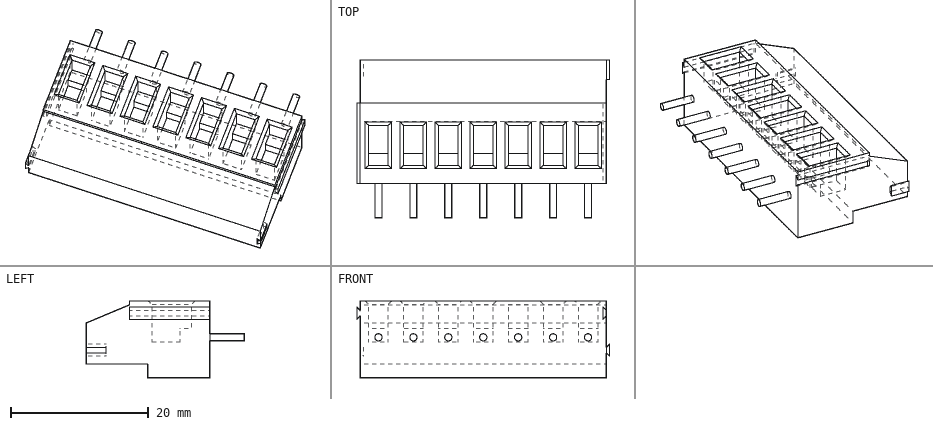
import cadquery as cq

POLE_COUNT = 7
PITCH = 5.08

OVERALL_LENGTH = 36.78
DOVETAIL_HEIGHT = 0.5
BODY_LENGTH = OVERALL_LENGTH - 2 * DOVETAIL_HEIGHT
BODY_DEPTH = 18.0
BODY_HEIGHT = 11.2
HALF_LENGTH = BODY_LENGTH / 2

FOOT_DEPTH = 9.05
FOOT_HEIGHT = 2.0
DECK_DEPTH = 11.72
SLOPE_TOP = 10.63
SLOPE_BOTTOM = 8.0

PIN_DIAMETER = 1.05
PIN_LENGTH = 5.0
PIN_HEIGHT = 5.9

POCKET_CENTRE_Y = 5.56
POCKET_WIDTH = 2.85
POCKET_LENGTH = 5.8
POCKET_CHAMFER = 0.5
POCKET_DEPTH = 6.0
LEDGE_EDGE_Y = 4.37
LEDGE_DEPTH = 4.0

DOVETAIL_NARROW = 0.8
DOVETAIL_WIDE = DOVETAIL_NARROW + 2 * DOVETAIL_HEIGHT
DECK_DOVETAIL_HEIGHT = 9.42
REAR_DOVETAIL_HEIGHT = 4.05
REAR_DOVETAIL_LENGTH = 2.9


def make_housing():
    """Stepped and sloped side profile, extruded along the row."""
    profile = [
        (0, 0),
        (FOOT_DEPTH, 0),
        (FOOT_DEPTH, FOOT_HEIGHT),
        (BODY_DEPTH, FOOT_HEIGHT),
        (BODY_DEPTH, SLOPE_BOTTOM),
        (DECK_DEPTH, SLOPE_TOP),
        (DECK_DEPTH, BODY_HEIGHT),
        (0, BODY_HEIGHT),
    ]
    return cq.Workplane("YZ").polyline(profile).close().extrude(HALF_LENGTH, both=True)


def make_dovetail(narrow_x, wide_x, centre_z, start_y, end_y):
    """Dovetail bar along Y with its narrow side at narrow_x and its wide side at wide_x."""
    section = [
        (narrow_x, centre_z - DOVETAIL_NARROW / 2),
        (wide_x, centre_z - DOVETAIL_WIDE / 2),
        (wide_x, centre_z + DOVETAIL_WIDE / 2),
        (narrow_x, centre_z + DOVETAIL_NARROW / 2),
    ]
    plane = cq.Workplane("XZ", origin=(0, start_y, 0))
    return plane.polyline(section).close().extrude(start_y - end_y)


def make_dovetail_pair(tab_side, centre_z, start_y, end_y):
    """Tab on the end face at tab_side (-1 or +1) and the matching groove in the other end face."""
    tab_face = tab_side * HALF_LENGTH
    tab_crest = tab_face + tab_side * DOVETAIL_HEIGHT
    groove_face = -tab_face
    groove_floor = groove_face + tab_side * DOVETAIL_HEIGHT
    tab = make_dovetail(tab_face, tab_crest, centre_z, start_y, end_y)
    groove = make_dovetail(groove_face, groove_floor, centre_z, start_y, end_y)
    return tab, groove


def make_pocket(x):
    """Wire pocket cutter: chamfered mouth, deep rear part and a ledge on the pin side."""
    mouth = (
        cq.Workplane("XY", origin=(x, POCKET_CENTRE_Y, BODY_HEIGHT - POCKET_CHAMFER))
        .rect(POCKET_WIDTH, POCKET_LENGTH)
        .workplane(offset=POCKET_CHAMFER)
        .rect(POCKET_WIDTH + 2 * POCKET_CHAMFER, POCKET_LENGTH + 2 * POCKET_CHAMFER)
        .loft(ruled=True)
    )
    upper = (
        cq.Workplane("XY", origin=(x, POCKET_CENTRE_Y, BODY_HEIGHT - POCKET_CHAMFER))
        .rect(POCKET_WIDTH, POCKET_LENGTH)
        .extrude(POCKET_CHAMFER - LEDGE_DEPTH)
    )
    rear_y = POCKET_CENTRE_Y + POCKET_LENGTH / 2
    lower = (
        cq.Workplane("XY", origin=(x, (LEDGE_EDGE_Y + rear_y) / 2, BODY_HEIGHT - LEDGE_DEPTH))
        .rect(POCKET_WIDTH, rear_y - LEDGE_EDGE_Y)
        .extrude(LEDGE_DEPTH - POCKET_DEPTH)
    )
    return mouth.union(upper).union(lower)


def make_pin(x):
    """Round contact pin standing out of the pin face."""
    return cq.Workplane("XZ", origin=(x, 0, PIN_HEIGHT)).circle(PIN_DIAMETER / 2).extrude(PIN_LENGTH)


result = make_housing()

deck_tab, deck_groove = make_dovetail_pair(-1, DECK_DOVETAIL_HEIGHT, 0, DECK_DEPTH)
rear_tab, rear_groove = make_dovetail_pair(
    1, REAR_DOVETAIL_HEIGHT, BODY_DEPTH - REAR_DOVETAIL_LENGTH, BODY_DEPTH
)
result = result.cut(deck_groove).cut(rear_groove).union(deck_tab).union(rear_tab)

for pole in range(POLE_COUNT):
    pole_x = (pole - (POLE_COUNT - 1) / 2) * PITCH
    result = result.cut(make_pocket(pole_x)).union(make_pin(pole_x))